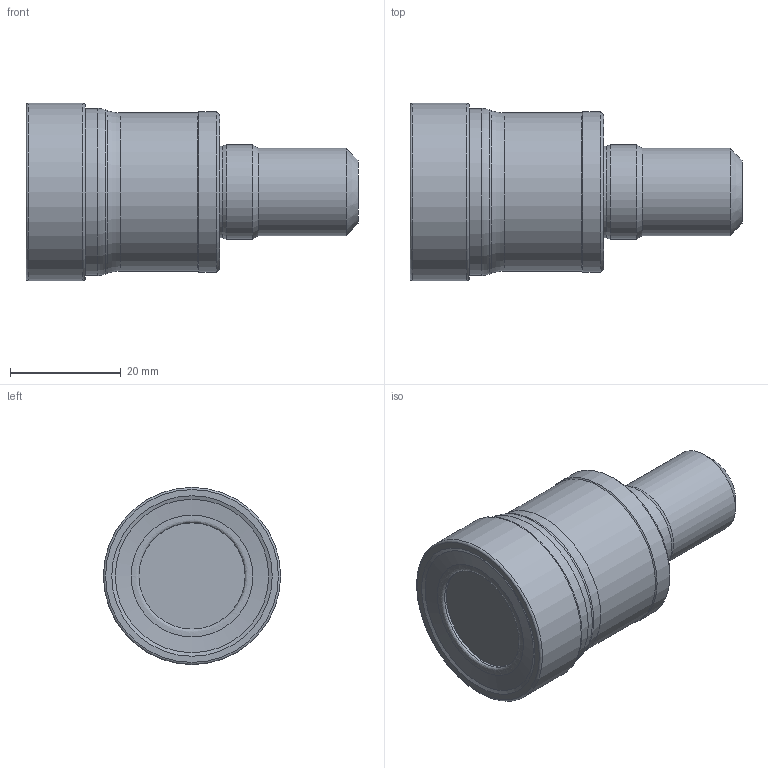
import cadquery as cq


disc_face_x = 1.45
neck_end_x = 13.0
shoulder_x = 14.3
waist_blend_x = 14.8
waist_x = 17.0
waist_end_x = 31.0
body_end_x = 35.0
stud_length = 25.0
stud_end_x = body_end_x + stud_length

neck_radius = 30.2 / 2
waist_radius = 28.6 / 2
flange_radius = 29.0 / 2
collar_radius = 17.0 / 2
stud_radius = 15.75 / 2

flange_chamfer = 0.55
relief_radius = 8.3
relief_length = 0.5
relief_end_x = body_end_x + relief_length
collar_lead_in_length = 0.7
collar_x = relief_end_x + collar_lead_in_length
collar_end_x = 41.0
stud_x = 42.0
stud_chamfer = 2.15

cap_radius = 16.015
cap_length = 10.7
cap_edge_round = 0.4
recess_radius = 14.5
recess_floor_radius = 13.85
recess_depth = 0.25
lip_radius = 11.0
lip_depth = 0.55
lip_curve_depth = 0.45
opening_radius = 9.6


def revolve_about_x(profile):
    return profile.close().revolve(360, (0, 0, 0), (1, 0, 0))


def make_body():
    neck_drop = neck_radius - waist_radius
    convex_span = shoulder_x - neck_end_x
    concave_span = waist_x - waist_blend_x
    cone_span = waist_blend_x - shoulder_x
    half_slope = neck_drop / (convex_span + concave_span + 2 * cone_span)
    shoulder_radius = neck_radius - convex_span * half_slope
    waist_blend_radius = waist_radius + concave_span * half_slope
    flange_step = flange_radius - waist_radius

    profile = (
        cq.Workplane("XY")
        .moveTo(disc_face_x, 0)
        .lineTo(disc_face_x, neck_radius)
        .lineTo(neck_end_x, neck_radius)
        .tangentArcPoint((shoulder_x, shoulder_radius), relative=False)
        .lineTo(waist_blend_x, waist_blend_radius)
        .tangentArcPoint((waist_x, waist_radius), relative=False)
        .lineTo(waist_end_x, waist_radius)
        .lineTo(waist_end_x + flange_step, flange_radius)
        .lineTo(body_end_x - flange_chamfer, flange_radius)
        .lineTo(body_end_x, flange_radius - flange_chamfer)
        .lineTo(body_end_x, relief_radius)
        .lineTo(relief_end_x, relief_radius)
        .lineTo(collar_x, collar_radius)
        .lineTo(collar_end_x, collar_radius)
        .lineTo(stud_x, stud_radius)
        .lineTo(stud_end_x - stud_chamfer, stud_radius)
        .lineTo(stud_end_x, stud_radius - stud_chamfer)
        .lineTo(stud_end_x, 0)
    )
    return revolve_about_x(profile)


def make_cap():
    profile = (
        cq.Workplane("XY")
        .moveTo(0, recess_radius)
        .lineTo(0, cap_radius - cap_edge_round)
        .radiusArc((cap_edge_round, cap_radius), cap_edge_round)
        .lineTo(cap_length - cap_edge_round, cap_radius)
        .radiusArc((cap_length, cap_radius - cap_edge_round), cap_edge_round)
        .lineTo(cap_length, neck_radius)
        .lineTo(disc_face_x, neck_radius)
        .lineTo(disc_face_x, opening_radius)
        .lineTo(lip_depth + lip_curve_depth, opening_radius)
        .spline(
            [(lip_depth, lip_radius)],
            tangents=[(-1, 0), (0, 1)],
            includeCurrent=True,
        )
        .lineTo(recess_depth, recess_floor_radius)
    )
    return revolve_about_x(profile)


body = make_body()
cap = make_cap()
result = cq.Compound.makeCompound([body.val(), cap.val()])